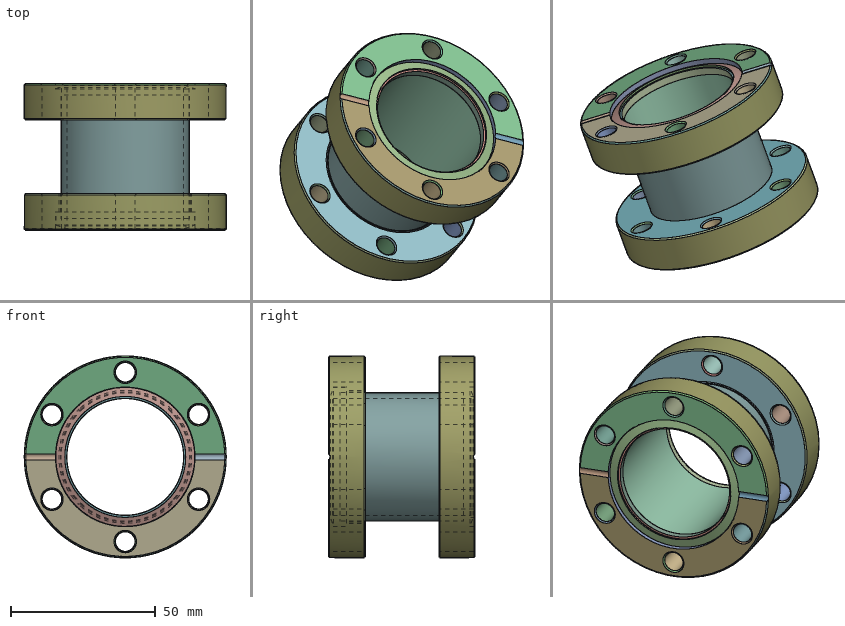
import cadquery as cq
import math

flange_diameter = 69.9
overall_length = 50.8
front_thickness = 12.8
rear_thickness = 12.6
edge_chamfer = 0.5

bore_diameter = 40.4
tube_diameter = 44.45
socket_depth = 4.05

recess_diameter = 48.3
knife_diameter = 41.9
knife_depth = 0.7
knife_angle = 20.0
step_height = 0.8

insert_head_diameter = 48.1
insert_stem_diameter = 45.0
ring_bore_diameter = 46.0
shoulder_depth = 6.3

bolt_count = 6
bolt_circle_diameter = 58.6
bolt_hole_diameter = 6.8
hole_chamfer = 0.5
groove_radius = 1.3
groove_depth = 0.55

bore_radius = bore_diameter / 2
tube_radius = tube_diameter / 2
recess_radius = recess_diameter / 2
knife_radius = knife_diameter / 2
step_depth = knife_depth + step_height
half_length = overall_length / 2


def cone_depth(radius):
    """Depth of the sealing cone below the outer face."""
    return knife_depth + (radius - knife_radius) * math.tan(math.radians(knife_angle))


def revolve_profile(points):
    """Revolve (radius, y) points about the Y axis."""
    return cq.Workplane("XY").polyline(points).close().revolve(360, (0, 0, 0), (0, 1, 0))


def cylinder(diameter, start, length):
    """Cylinder along +Y from y = start."""
    return cq.Workplane("XZ", origin=(0, start, 0)).circle(diameter / 2).extrude(-length)


def place_front(body):
    """Move a body whose outer face is at y = 0 to the front end."""
    return body.translate((0, -half_length, 0))


def place_rear(body):
    """Turn a body whose outer face is at y = 0 round to the rear end."""
    return place_front(body).rotate((0, 0, 0), (0, 0, 1), 180)


def chamfered_disc(thickness):
    return cylinder(flange_diameter, 0, thickness).edges().chamfer(edge_chamfer)


def cut_bolt_holes(body, thickness):
    mouth_radius = bolt_hole_diameter / 2 + hole_chamfer
    hole_radius = bolt_hole_diameter / 2
    hole = revolve_profile([
        (0, 0),
        (mouth_radius, 0),
        (hole_radius, hole_chamfer),
        (hole_radius, thickness - hole_chamfer),
        (mouth_radius, thickness),
        (0, thickness),
    ]).translate((0, 0, bolt_circle_diameter / 2))
    for index in range(bolt_count):
        body = body.cut(hole.rotate((0, 0, 0), (0, 1, 0), index * 360 / bolt_count))
    return body


def cut_leak_groove(body):
    """Round-bottomed groove across the outer face, shallower than the recess."""
    groove = (
        cq.Workplane("YZ", origin=(-flange_diameter / 2, groove_depth - groove_radius, 0))
        .circle(groove_radius)
        .extrude(flange_diameter)
    )
    return body.cut(groove)


def make_tube():
    length = overall_length - 2 * socket_depth
    outside = cylinder(tube_diameter, -length / 2, length)
    return outside.cut(cylinder(bore_diameter, -length / 2, length))


def make_rear_flange():
    body = chamfered_disc(rear_thickness)
    body = body.cut(revolve_profile([
        (0, 0),
        (recess_radius, 0),
        (recess_radius, cone_depth(recess_radius)),
        (knife_radius, knife_depth),
        (knife_radius, step_depth),
        (bore_radius, step_depth),
        (bore_radius, socket_depth),
        (tube_radius, socket_depth),
        (tube_radius, rear_thickness),
        (0, rear_thickness),
    ]))
    body = cut_bolt_holes(body, rear_thickness)
    return place_rear(cut_leak_groove(body))


def make_front_ring():
    body = chamfered_disc(front_thickness)
    body = body.cut(cylinder(ring_bore_diameter, 0, front_thickness))
    body = body.cut(cylinder(recess_diameter, 0, shoulder_depth))
    body = cut_bolt_holes(body, front_thickness)
    return place_front(cut_leak_groove(body))


def make_front_insert():
    head_radius = insert_head_diameter / 2
    stem_radius = insert_stem_diameter / 2
    return place_front(revolve_profile([
        (bore_radius, step_depth),
        (knife_radius, step_depth),
        (knife_radius, knife_depth),
        (head_radius, cone_depth(head_radius)),
        (head_radius, shoulder_depth),
        (stem_radius, shoulder_depth),
        (stem_radius, front_thickness),
        (tube_radius, front_thickness),
        (tube_radius, socket_depth),
        (bore_radius, socket_depth),
    ]))


tube = make_tube()
rear_flange = make_rear_flange()
front_ring = make_front_ring()
front_insert = make_front_insert()

result = cq.Compound.makeCompound([
    tube.val(),
    rear_flange.val(),
    front_ring.val(),
    front_insert.val(),
])